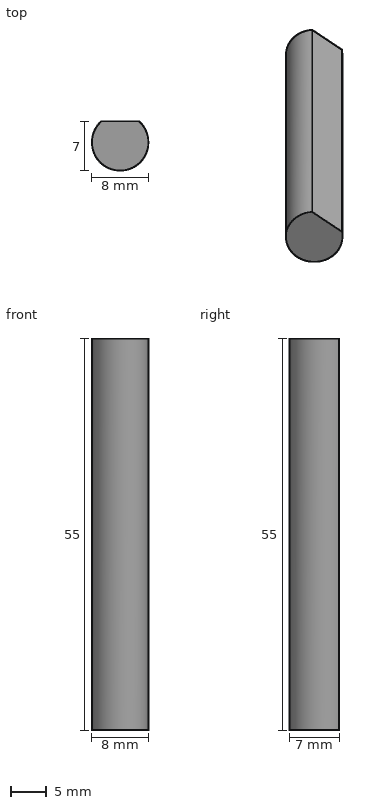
import cadquery as cq

length = 55.0
diameter = 8.0
depth_across_flat = 7.0

radius = diameter / 2
flat_y = depth_across_flat - radius

shaft = cq.Workplane("XY").circle(radius).extrude(length)

flat_envelope = (
    cq.Workplane("XY")
    .center(0, flat_y - depth_across_flat / 2)
    .rect(diameter, depth_across_flat)
    .extrude(length)
)

result = shaft.intersect(flat_envelope)